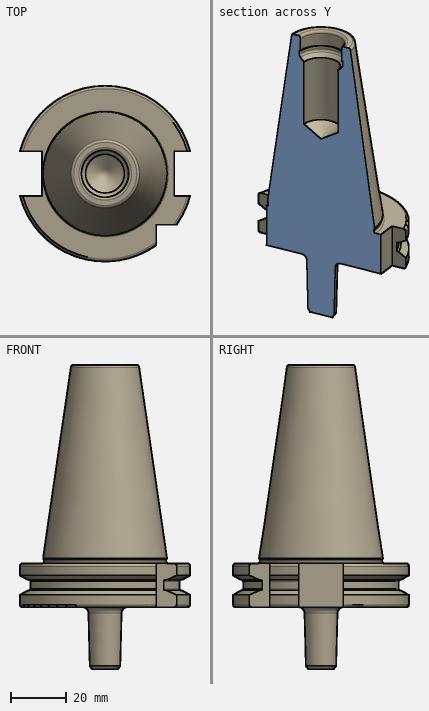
import cadquery as cq
import math


GAUGE_RADIUS = 44.45 / 2
TAPER_LENGTH = 68.4
TAPER_SLOPE = 7 / 24 / 2
TAPER_BASE_Z = -1.3
TIP_FILLET = 1.0

NECK_RADIUS = 22.15
NECK_TOP_Z = -1.95
NECK_FILLET = 0.6

FLANGE_RADIUS = 63.55 / 2
FLANGE_TOP_Z = -3.2
FLANGE_BOTTOM_Z = -19.1
FLANGE_FILLET = 1.0

GROOVE_Z = -11.1
GROOVE_RADIUS = 56.25 / 2
GROOVE_LEDGE_RADIUS = 28.9
GROOVE_FLANK_ANGLE = 30
GROOVE_APEX_RADIUS = 25.65
GROOVE_ROOT_FILLET = 0.5

SLOT_WIDTH = 16.1
SLOT_FLOOR_LEFT = 22.8
SLOT_FLOOR_RIGHT = 25.0
NOTCH_X = 18.5
NOTCH_Y = -18.5

STUB_LENGTH = 22.4
STUB_TOP_RADIUS = 12.065 / 2
STUB_END_RADIUS = 5.55
STUB_CHAMFER = 0.95
STUB_CHAMFER_HEIGHT = 1.3
STUB_FILLET = 2.0

PILOT_RADIUS = 17 / 2
PILOT_DEPTH = 6.1
RELIEF_RADIUS = 9.0
RELIEF_END_DEPTH = 8.1
RELIEF_FILLET = 1.5
PILOT_MOUTH_FILLET = 1.0
LEAD_IN_ANGLE = 45
HOLE_RADIUS = 14 / 2
HOLE_DEPTH = 35.0
DRILL_POINT_ANGLE = 118


def taper_radius(z):
    return GAUGE_RADIUS - z * TAPER_SLOPE


def groove_half_width(radius):
    return (radius - GROOVE_APEX_RADIUS) * math.tan(math.radians(GROOVE_FLANK_ANGLE))


def revolve(profile):
    """Close an XZ half-profile and turn it about the Z axis."""
    return profile.close().revolve(360, (0, 0, 0), (0, 1, 0))


def make_shank():
    shank = revolve(
        cq.Workplane("XZ")
        .moveTo(0, FLANGE_TOP_Z)
        .lineTo(NECK_RADIUS + NECK_FILLET, FLANGE_TOP_Z)
        .radiusArc((NECK_RADIUS, FLANGE_TOP_Z + NECK_FILLET), NECK_FILLET)
        .lineTo(NECK_RADIUS, NECK_TOP_Z)
        .lineTo(taper_radius(TAPER_BASE_Z), TAPER_BASE_Z)
        .lineTo(taper_radius(TAPER_LENGTH), TAPER_LENGTH)
        .lineTo(0, TAPER_LENGTH)
    )
    return shank.faces(">Z").edges().fillet(TIP_FILLET)


def make_groove():
    lip = groove_half_width(FLANGE_RADIUS)
    ledge = groove_half_width(GROOVE_LEDGE_RADIUS)
    floor = ledge - GROOVE_ROOT_FILLET
    wall_radius = GROOVE_RADIUS + GROOVE_ROOT_FILLET
    return revolve(
        cq.Workplane("XZ")
        .moveTo(FLANGE_RADIUS, GROOVE_Z + lip)
        .lineTo(GROOVE_LEDGE_RADIUS, GROOVE_Z + ledge)
        .lineTo(wall_radius, GROOVE_Z + ledge)
        .radiusArc((GROOVE_RADIUS, GROOVE_Z + floor), -GROOVE_ROOT_FILLET)
        .lineTo(GROOVE_RADIUS, GROOVE_Z - floor)
        .radiusArc((wall_radius, GROOVE_Z - ledge), -GROOVE_ROOT_FILLET)
        .lineTo(GROOVE_LEDGE_RADIUS, GROOVE_Z - ledge)
        .lineTo(FLANGE_RADIUS, GROOVE_Z - lip)
    )


def flange_cutter(x_min, x_max, y_min, y_max):
    """Block through the full flange thickness."""
    return (
        cq.Workplane("XY", origin=(0, 0, FLANGE_BOTTOM_Z))
        .moveTo(x_min, y_min)
        .lineTo(x_max, y_min)
        .lineTo(x_max, y_max)
        .lineTo(x_min, y_max)
        .close()
        .extrude(FLANGE_TOP_Z - FLANGE_BOTTOM_Z)
    )


def make_flange():
    disc = (
        cq.Workplane("XY", origin=(0, 0, FLANGE_BOTTOM_Z))
        .circle(FLANGE_RADIUS)
        .extrude(FLANGE_TOP_Z - FLANGE_BOTTOM_Z)
        .edges()
        .fillet(FLANGE_FILLET)
    )
    half_slot = SLOT_WIDTH / 2
    left_slot = flange_cutter(-FLANGE_RADIUS, -SLOT_FLOOR_LEFT, -half_slot, half_slot)
    right_slot = flange_cutter(SLOT_FLOOR_RIGHT, FLANGE_RADIUS, -half_slot, half_slot)
    notch = flange_cutter(NOTCH_X, FLANGE_RADIUS, -FLANGE_RADIUS, NOTCH_Y)
    return disc.cut(make_groove()).cut(left_slot).cut(right_slot).cut(notch)


def make_stub():
    end_z = FLANGE_BOTTOM_Z - STUB_LENGTH
    return revolve(
        cq.Workplane("XZ")
        .moveTo(0, FLANGE_BOTTOM_Z)
        .lineTo(STUB_TOP_RADIUS + STUB_FILLET, FLANGE_BOTTOM_Z)
        .radiusArc((STUB_TOP_RADIUS, FLANGE_BOTTOM_Z - STUB_FILLET), -STUB_FILLET)
        .lineTo(STUB_END_RADIUS, end_z + STUB_CHAMFER_HEIGHT)
        .lineTo(STUB_END_RADIUS - STUB_CHAMFER, end_z)
        .lineTo(0, end_z)
    )


def make_hole():
    pilot_end_z = TAPER_LENGTH - PILOT_DEPTH
    relief_end_z = TAPER_LENGTH - RELIEF_END_DEPTH
    lead_in = math.radians(LEAD_IN_ANGLE)
    hole_z = relief_end_z - (RELIEF_RADIUS - HOLE_RADIUS) / math.tan(lead_in)
    tangent_length = RELIEF_FILLET * math.tan(lead_in / 2)
    fillet_end_radius = RELIEF_RADIUS - tangent_length * math.sin(lead_in)
    fillet_end_z = relief_end_z - tangent_length * math.cos(lead_in)
    bottom_z = TAPER_LENGTH - HOLE_DEPTH
    point_height = HOLE_RADIUS / math.tan(math.radians(DRILL_POINT_ANGLE / 2))
    mouth_radius = PILOT_RADIUS + PILOT_MOUTH_FILLET
    return revolve(
        cq.Workplane("XZ")
        .moveTo(0, TAPER_LENGTH)
        .lineTo(mouth_radius, TAPER_LENGTH)
        .radiusArc((PILOT_RADIUS, TAPER_LENGTH - PILOT_MOUTH_FILLET), -PILOT_MOUTH_FILLET)
        .lineTo(PILOT_RADIUS, pilot_end_z)
        .lineTo(RELIEF_RADIUS, pilot_end_z)
        .lineTo(RELIEF_RADIUS, relief_end_z + tangent_length)
        .radiusArc((fillet_end_radius, fillet_end_z), RELIEF_FILLET)
        .lineTo(HOLE_RADIUS, hole_z)
        .lineTo(HOLE_RADIUS, bottom_z)
        .lineTo(0, bottom_z - point_height)
    )


result = make_shank().union(make_flange()).union(make_stub()).cut(make_hole())